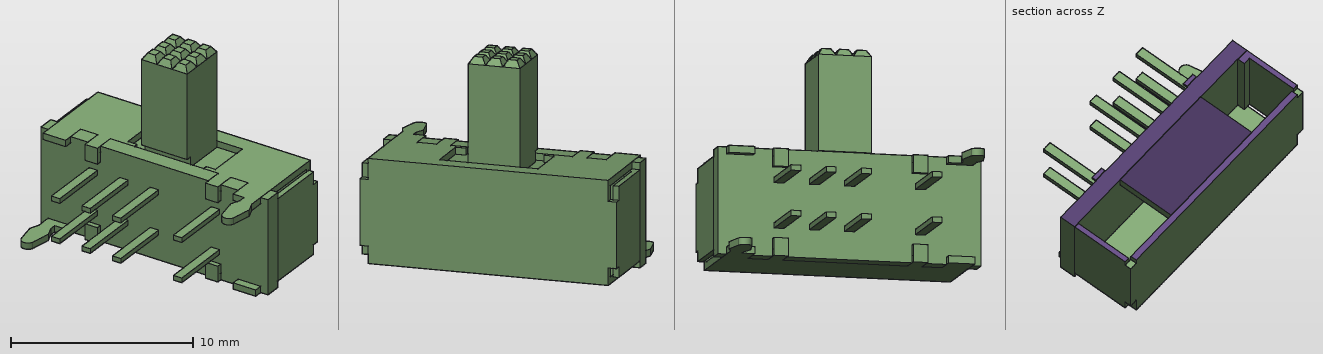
import cadquery as cq

body_length = 14.9
body_height = 6.0
base_depth = 1.0
body_depth = 5.0
sheet = 0.4
half_length = body_length / 2
half_height = body_height / 2
inner_height = body_height - 2 * sheet

plate_half_length = 6.97
end_wall_sheet = 0.33
end_joint_height = 3.8
end_joint_drop = 0.1
end_lug_depth = 0.47
end_lug_length = 0.45
corner_tab_width = 1.48
corner_tab_reach = 0.5
crimp_tab_width = 0.82
crimp_tab_spacing = 7.9
crimp_fold_sheet = 0.3
crimp_fold_height = 1.0
window_left = -2.56
window_right = 3.17
window_back = 4.0
lip_length = 0.6
lip_depth = 0.27

leg_neck_width = 0.76
leg_barb_width = 1.22
leg_neck_end = 0.9
leg_barb_at = 1.5
leg_taper_end = 2.72
leg_tip = 3.0

pin_width = 0.55
pin_height = 0.3
pin_reach = 3.8
pin_columns = [-4.0, -2.0, 0.0, 4.0]
pin_row_spacing = 2.54

knob_size = 3.0
knob_rise = 6.0
grip_count = 3
grip_height = 0.38
grip_top = 0.5
grip_pitch = knob_size / grip_count
knob_undercut_depth = 0.34
knob_undercut_height = 0.23
slider_length = 7.0
slider_height = 1.0

corner_tab_x = plate_half_length - corner_tab_width / 2
tab_layout = [
    (-corner_tab_x, corner_tab_width, corner_tab_reach),
    (-crimp_tab_spacing / 2, crimp_tab_width, crimp_fold_sheet),
    (crimp_tab_spacing / 2, crimp_tab_width, crimp_fold_sheet),
    (corner_tab_x, corner_tab_width, corner_tab_reach),
]


def block(x_min, x_max, y_min, y_max, z_min, z_max):
    """Box between the given limits."""
    size = (x_max - x_min, y_max - y_min, z_max - z_min)
    return cq.Workplane("XY").box(*size, centered=False).translate((x_min, y_min, z_min))


def sheet_tabs():
    """Tabs of the top plate that cross the base; the bottom plate has the same ones."""
    tabs = cq.Workplane("XY")
    for x, width, reach in tab_layout:
        tabs = tabs.union(
            block(x - width / 2, x + width / 2, -reach, base_depth, half_height - sheet, half_height)
        )
    return tabs


def crimp_folds():
    """Ends of the narrow tabs, folded down over the base front face."""
    folds = cq.Workplane("XY")
    for x in (-crimp_tab_spacing / 2, crimp_tab_spacing / 2):
        folds = folds.union(
            block(x - crimp_tab_width / 2, x + crimp_tab_width / 2, -crimp_fold_sheet, 0,
                  half_height - crimp_fold_height, half_height)
        )
    return folds


def snap_leg(outer_edge, side, z_min):
    """Barbed leg with a round tip; its neck is flush with the outer edge of a corner tab."""
    neck = leg_neck_width / 2
    barb = leg_barb_width / 2
    return (
        cq.Workplane("XY", origin=(side * (outer_edge - neck), 0, z_min))
        .moveTo(-neck, 0)
        .lineTo(-neck, -leg_neck_end)
        .lineTo(-barb, -leg_barb_at)
        .lineTo(-neck, -leg_taper_end)
        .threePointArc((0, -leg_tip), (neck, -leg_taper_end))
        .lineTo(barb, -leg_barb_at)
        .lineTo(neck, -leg_neck_end)
        .lineTo(neck, 0)
        .close()
        .extrude(sheet)
    )


def end_wall():
    """Wall at the -X end, joined to the back wall near mid height."""
    inner_x = -half_length + end_wall_sheet
    inner_y = body_depth - sheet
    joint_bottom = -end_joint_drop - end_joint_height / 2
    wall = block(-half_length, inner_x, base_depth, inner_y, -inner_height / 2, inner_height / 2)
    joint = block(-half_length, -plate_half_length, inner_y, body_depth,
                  joint_bottom, joint_bottom + end_joint_height)
    return wall.union(joint)


def make_frame():
    top_plate = block(-plate_half_length, plate_half_length, base_depth, body_depth,
                      half_height - sheet, half_height)
    upper = top_plate.union(sheet_tabs()).union(crimp_folds())
    lower = upper.mirror("XY")

    window = block(window_left, window_right, base_depth, window_back, half_height - sheet, half_height)
    for lip_start in (window_left, window_right - lip_length):
        lip = block(lip_start, lip_start + lip_length, base_depth, base_depth + lip_depth,
                    half_height - sheet, half_height)
        window = window.cut(lip)

    back_wall = block(-plate_half_length, plate_half_length, body_depth - sheet, body_depth,
                      -half_height, half_height)
    lug_x = -half_length + end_wall_sheet
    end_lug = block(lug_x, lug_x + end_lug_length, base_depth, base_depth + end_lug_depth,
                    -inner_height / 2, inner_height / 2)

    frame = upper.cut(window).union(lower).union(back_wall)
    frame = frame.union(end_wall()).union(end_wall().mirror("YZ")).union(end_lug)
    frame = frame.union(snap_leg(plate_half_length, 1, half_height - sheet))
    return frame.union(snap_leg(plate_half_length, -1, -half_height))


def make_base():
    """Base plate notched for the frame tabs, with two rows of pins."""
    base = block(-half_length, half_length, 0, base_depth, -half_height, half_height)
    base = base.cut(sheet_tabs()).cut(sheet_tabs().mirror("XY"))
    for z in (-pin_row_spacing / 2, pin_row_spacing / 2):
        for x in pin_columns:
            base = base.union(
                block(x - pin_width / 2, x + pin_width / 2, -pin_reach, 0,
                      z - pin_height / 2, z + pin_height / 2)
            )
    return base


def grip_stud(x, y, z):
    """Truncated pyramid on the knob's top face."""
    return (
        cq.Workplane("XY", origin=(x, y, z))
        .rect(grip_pitch, grip_pitch)
        .workplane(offset=grip_height)
        .rect(grip_top, grip_top)
        .loft(ruled=True)
    )


def make_knob():
    """Grip block standing on a slider that closes the window from below."""
    slider_top = half_height - sheet
    knob_front = window_back - knob_size
    knob_top = half_height + knob_rise - grip_height
    slider = block(-slider_length / 2, slider_length / 2, base_depth, body_depth - sheet,
                   slider_top - slider_height, slider_top)
    grip = block(-knob_size / 2, knob_size / 2, knob_front, window_back, slider_top, knob_top)
    undercut = block(-knob_size / 2, knob_size / 2, knob_front, knob_front + knob_undercut_depth,
                     slider_top, half_height + knob_undercut_height)
    knob = slider.union(grip.cut(undercut))
    for column in range(grip_count):
        for row in range(grip_count):
            x = -knob_size / 2 + (column + 0.5) * grip_pitch
            y = knob_front + (row + 0.5) * grip_pitch
            knob = knob.union(grip_stud(x, y, knob_top))
    return knob


frame = make_frame()
base = make_base()
knob = make_knob()

result = cq.Compound.makeCompound([frame.solids().val(), base.solids().val(), knob.solids().val()])